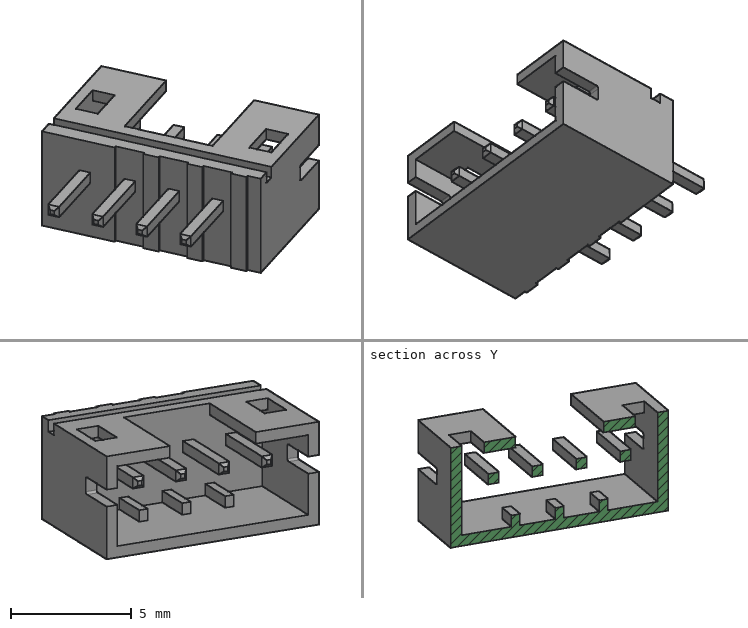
import cadquery as cq


width = 9.9
height = 4.5
length = 6.0
wall = 0.5
back_thickness = 1.8

pin_count = 4
pitch = 2.0
pin_size = 0.495
pin_axis_z = 2.8
tail_length = 3.3
contact_end = 5.22
tip_bevel = 0.15

mouth_gap_width = 2 * pitch
side_slot_height = 0.74
side_slot_depth = 1.9
side_slot_corner = 0.1
window_width = 1.0
window_length = 1.7
window_start = 2.3

top_groove_start = 0.7
top_groove_width = 0.495
top_groove_depth = 0.5

relief_width = 1.3
relief_depth = 0.11

rib_count = pin_count - 1
rib_width = 0.41
rib_height = 0.5
rib_end = 3.6

middle_x = width / 2
first_pin_x = middle_x - pitch * (pin_count - 1) / 2


def block(x_start, x_size, y_start, y_size, z_start, z_size):
    """Box given by its lowest corner and its sizes."""
    corner = (x_start, y_start, z_start)
    return cq.Workplane("XY").box(x_size, y_size, z_size, centered=False).translate(corner)


def make_shell():
    """Housing hollowed from the mouth, leaving four walls and a thick back."""
    outside = block(0, width, 0, length, 0, height)
    cavity = block(
        wall, width - 2 * wall,
        back_thickness, length - back_thickness,
        wall, height - 2 * wall,
    )
    return outside.cut(cavity)


def make_mouth_gap():
    """Central opening that splits the top wall into two arms."""
    return block(
        middle_x - mouth_gap_width / 2, mouth_gap_width,
        back_thickness, length - back_thickness,
        height - wall, wall,
    )


def make_windows():
    """One window through each top arm, flush with the inside of the side wall."""
    windows = cq.Workplane("XY")
    for x_start in (wall, width - wall - window_width):
        windows = windows.add(
            block(x_start, window_width, window_start, window_length, height - wall, wall)
        )
    return windows.combine()


def make_side_slot():
    """Slot from the mouth through both side walls, level with the tops of the pins."""
    slot_top = pin_axis_z + pin_size / 2
    slot = block(
        0, width,
        length - side_slot_depth, side_slot_depth,
        slot_top - side_slot_height, side_slot_height,
    )
    return slot.faces("<Y").edges("|X").fillet(side_slot_corner)


def make_top_groove():
    """Groove along the full width of the top, near the tail face."""
    return block(
        0, width, top_groove_start, top_groove_width, height - top_groove_depth, top_groove_depth
    )


def make_reliefs():
    """Reliefs around every pin but the first; one more pitch on, the last runs off the side."""
    reliefs = cq.Workplane("XY")
    for index in range(1, pin_count + 1):
        x_start = first_pin_x + index * pitch - relief_width / 2
        reliefs = reliefs.add(block(x_start, relief_width, 0, relief_depth, 0, height))
    return reliefs.combine()


def make_rib(index):
    """Low rib on the cavity floor, midway between two neighbouring pins."""
    rib_x = first_pin_x + (index + 0.5) * pitch
    return block(
        rib_x - rib_width / 2, rib_width,
        back_thickness, rib_end - back_thickness,
        wall, rib_height,
    )


def make_pin(index):
    """Square pin through the back wall, bevelled at both tips."""
    pin_x = first_pin_x + index * pitch
    pin = block(
        pin_x - pin_size / 2, pin_size,
        -tail_length, tail_length + contact_end,
        pin_axis_z - pin_size / 2, pin_size,
    )
    return pin.faces("<Y or >Y").chamfer(tip_bevel)


result = make_shell()
for opening in (make_mouth_gap(), make_windows(), make_side_slot(), make_top_groove(), make_reliefs()):
    result = result.cut(opening)
for rib_index in range(rib_count):
    result = result.union(make_rib(rib_index))
for pin_index in range(pin_count):
    result = result.union(make_pin(pin_index))